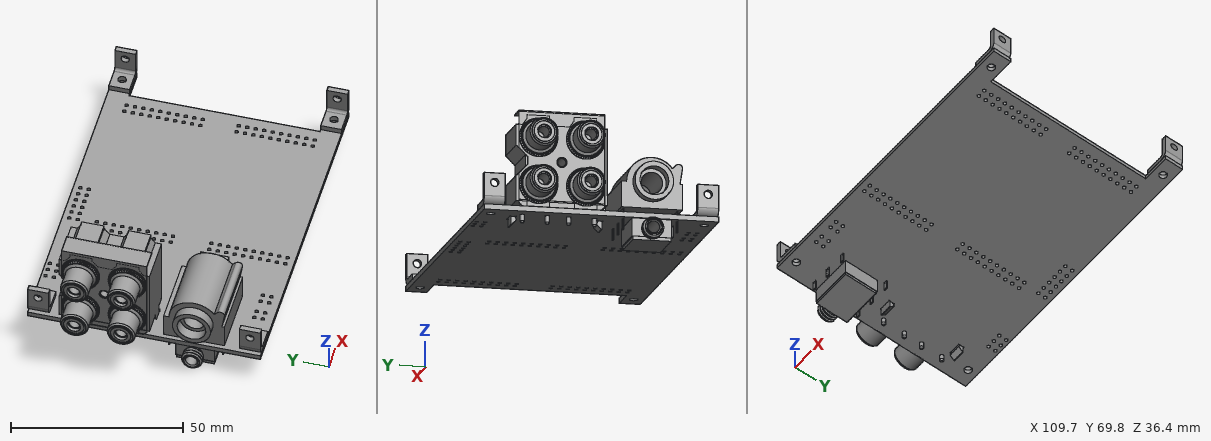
import cadquery as cq
import math


board_length = 101.4
board_width = 69.8
board_thickness = 1.5
board_main_length = 92.1
header_hole_d = 1.0
header_pitch = 2.5
header_row_span = 22.8
header_rows = 10
long_header_starts = ((37.9, 24.7), (37.9, -9.7), (85.6, 28.3), (85.8, -5.3))
short_headers = ((15.6, 33.6, 3), (39.8, 32.8, 6), (14.6, -29.3, 2), (21.4, -29.4, 2))

bracket_width = 6.3
bracket_depth = 8.6
bracket_height = 9.4
bracket_thickness = 1.6
bracket_bend_r = 2.5
bracket_hole_d = 2.4
bracket_base_hole_x = 5.2
bracket_wall_hole_z = 6.6

phono_y = 11.9
phono_z = 13.6
phono_pitch = 14.0
phono_front = -8.3
phono_width = 27.1
phono_depth = 13.6
phono_shoulder_z = 24.4
ridge_width = 6.7
ridge_top_z = 27.3
ridge_step_z = 26.2
ridge_slope = 1.3
ridge_wide_slope = 1.8
notch_depth = 2.7
plate_notch_setback = 0.7
notch_half_mouth = 4.5
phono_bottom_z = 1.5
plate_width = 25.6
plate_thickness = 0.3
plate_top_z = 28.5
plate_bottom_z = 1.9
plate_flange_x = 5.6
plate_hole_d = 3.0
block_hole_d = 2.4
lip_thickness = 0.2
lip_chamfer = 1.0

barrel_r = 4.2
barrel_chamfer = 0.4
barrel_chamfer_length = 0.7
collar_cone_x = -2.1
collar_x = -1.5
collar_r = 5.5
collar_flange_x = -0.7
collar_flange_r = 5.7
tooth_depth = 0.5
tooth_count = 48
socket_mouth_d = 4.1
socket_mouth_depth = 1.1
socket_d = 3.3
socket_depth = 7.7
groove_outer_d = 7.2
groove_inner_d = 6.1
groove_depth = 0.3

leg_x = 6.8
leg_length = 4.1
leg_width = 1.2
barb_width = 1.6
barb_z = -2.5
leg_tip_width = 0.2
leg_bottom_z = -4.0
leg_slot_clearance = 0.3
phono_pin_d = 1.3
phono_pin_x = 4.4
phono_pin_tip = 0.5
phono_pin_ys = (22.6, 15.1, 8.8, 1.1)

jack_y = -15.0
jack_z = 9.1
jack_length = 20.9
jack_width = 18.2
jack_bottom_z = 1.4
jack_dome_r = 7.6
jack_nose_d = 11.4
jack_nose_length = 3.0
jack_mouth_d = 8.6
jack_mouth_depth = 3.3
jack_bore_d = 6.4
jack_bore_depth = 18.7
jack_tail_size = 8.5
jack_tail_length = 3.0
nub_r = 1.2
nub_y = -22.9
nub_z = 13.8
nub_lean = 0.8
terminal_xs = (2.2, 8.3, 14.9)
terminal_spread = 16.1
terminal_thickness = 0.3
terminal_shoulder = 4.1
terminal_pin_width = 1.2
terminal_notch_width = 1.1
terminal_notch_height = 0.3
terminal_bottom_z = -4.7

aux_y = -15.1
aux_x = 0.8
aux_length = 13.8
aux_width = 11.7
aux_bottom_z = -7.9
aux_ledge_z = -6.9
aux_base_inset = 0.1
aux_base_side_inset = 0.3
aux_barrel_y = -14.9
aux_barrel_z = -4.7
aux_barrel_front = -3.0
thread_crest_r = 3.1
thread_root_r = 2.5
thread_pitch = 1.0
thread_turns = 3
aux_bore_d = 3.5
aux_bore_depth = 11.0
aux_bore_chamfer = 0.38
aux_pin_d = 0.8
aux_pin_x = 13.6
aux_pin_ys = (-10.9, -14.8, -20.0)
aux_pin_top_z = 0.7

half_board = board_width / 2
phono_left = phono_y + phono_width / 2
phono_right = phono_y - phono_width / 2
socket_ys = (phono_y - phono_pitch / 2, phono_y + phono_pitch / 2)
socket_zs = (phono_z - phono_pitch / 2, phono_z + phono_pitch / 2)
terminal_ys = (jack_y - terminal_spread / 2, jack_y + terminal_spread / 2)


def block(x0, x1, y0, y1, z0, z1):
    """Box between two corners."""
    return cq.Workplane("XY").box(x1 - x0, y1 - y0, z1 - z0, centered=False).translate((x0, y0, z0))


def rod_x(diameter, x0, x1, y, z):
    """Cylinder along X."""
    return cq.Workplane("YZ", origin=(x0, y, z)).circle(diameter / 2).extrude(x1 - x0)


def rod_z(diameter, x, y, z0, z1):
    """Cylinder along Z."""
    return cq.Workplane("XY", origin=(x, y, z0)).circle(diameter / 2).extrude(z1 - z0)


def turned_x(points, y, z):
    """Solid of revolution about a line along X, from (x, radius) points."""
    profile = cq.Workplane("XZ").polyline(points).close()
    return profile.revolve(360, (0, 0), (1, 0)).translate((0, y, z))


def profile_x(points, x0, x1):
    """Prism along X from (y, z) points."""
    return cq.Workplane("YZ", origin=(x0, 0, 0)).polyline(points).close().extrude(x1 - x0)


def make_bracket():
    """Front bracket on the +Y side: an upright and a base joined by a round bend."""
    y0 = half_board - bracket_width
    y1 = half_board
    wall_x = bracket_thickness
    base_z = bracket_thickness
    inner_r = bracket_bend_r - bracket_thickness
    body = block(0, bracket_depth, y0, y1, 0, bracket_height)
    body = body.edges("|Y and <X and <Z").fillet(bracket_bend_r)
    space = block(wall_x, bracket_depth, y0, y1, base_z, bracket_height)
    space = space.edges("|Y and <X and <Z").fillet(inner_r)
    hole_y = half_board - bracket_width / 2
    base_hole = rod_z(bracket_hole_d, bracket_base_hole_x, hole_y, 0, base_z)
    wall_hole = rod_x(bracket_hole_d, 0, wall_x, hole_y, bracket_wall_hole_z)
    return body.cut(space).cut(base_hole).cut(wall_hole)


def make_brackets():
    front_left = make_bracket()
    brackets = []
    for bracket in (front_left, front_left.mirror("XZ")):
        rear = bracket.mirror("YZ").translate((board_length, 0, 0))
        brackets += [bracket, rear]
    return brackets


def header_points(x, y, columns, rows, pitch_y):
    """Hole centres of a header; (x, y) is its front hole on the +Y side."""
    return [(x + i * header_pitch, y - j * pitch_y) for i in range(columns) for j in range(rows)]


def make_header_holes():
    row_pitch = header_row_span / (header_rows - 1)
    points = []
    for x, y, columns in short_headers:
        points += header_points(x, y, columns, 2, header_pitch)
    for x, y in long_header_starts:
        points += header_points(x, y, 2, header_rows, row_pitch)
    plane = cq.Workplane("XY", origin=(0, 0, -board_thickness))
    return plane.pushPoints(points).circle(header_hole_d / 2).extrude(board_thickness)


def make_board():
    board = block(0, board_length, -half_board, half_board, -board_thickness, 0)
    half_gap = half_board - bracket_width
    board = board.cut(block(board_main_length, board_length, -half_gap, half_gap, -board_thickness, 0))
    board = board.cut(make_header_holes())
    for x in (bracket_base_hole_x, board_length - bracket_base_hole_x):
        for side in (-1, 1):
            y = side * (half_board - bracket_width / 2)
            board = board.cut(rod_z(bracket_hole_d, x, y, -board_thickness, 0))
    for side in (-1, 1):
        outer = phono_y + side * (phono_width / 2 + leg_slot_clearance)
        inner = phono_y + side * (phono_width / 2 - barb_width)
        y0, y1 = sorted((outer, inner))
        board = board.cut(block(leg_x, leg_x + leg_length, y0, y1, -board_thickness, 0))
    for y in phono_pin_ys:
        board = board.cut(rod_z(phono_pin_d, phono_pin_x, y, -board_thickness, 0))
    for x in terminal_xs:
        for y in terminal_ys:
            y0 = y - terminal_thickness / 2
            y1 = y + terminal_thickness / 2
            board = board.cut(block(x, x + terminal_pin_width, y0, y1, -board_thickness, 0))
    for y in aux_pin_ys:
        board = board.cut(rod_z(aux_pin_d, aux_pin_x, y, -board_thickness, 0))
    return board


def make_phono_barrel(y, z):
    """Barrel with a conical base, a toothed collar and a round flange behind it."""
    chamfer_x = phono_front + barrel_chamfer_length
    root_r = collar_r - tooth_depth
    barrel = turned_x(
        [
            (phono_front, 0),
            (phono_front, barrel_r - barrel_chamfer),
            (chamfer_x, barrel_r),
            (collar_cone_x, barrel_r),
            (collar_x, root_r),
            (collar_flange_x, root_r),
            (collar_flange_x, collar_flange_r),
            (0, collar_flange_r),
            (0, 0),
        ],
        y,
        z,
    )
    teeth = []
    for i in range(2 * tooth_count):
        angle = math.pi * i / tooth_count
        radius = collar_r if i % 2 == 0 else root_r
        teeth.append((y + radius * math.cos(angle), z + radius * math.sin(angle)))
    return barrel.union(profile_x(teeth, collar_x, collar_flange_x))


def make_socket_cut(y, z):
    """Stepped blind hole and the ring groove around it."""
    groove = rod_x(groove_outer_d, phono_front, phono_front + groove_depth, y, z)
    groove = groove.cut(rod_x(groove_inner_d, phono_front, phono_front + groove_depth, y, z))
    mouth = rod_x(socket_mouth_d, phono_front, phono_front + socket_mouth_depth, y, z)
    bore = rod_x(socket_d, phono_front, phono_front + socket_depth, y, z)
    return mouth.union(bore).union(groove)


def make_snap_leg(side):
    """Barbed leg flush with one side of the block."""
    edge = phono_y + side * phono_width / 2
    points = [
        (edge, phono_bottom_z),
        (edge, leg_bottom_z),
        (edge - side * leg_tip_width, leg_bottom_z),
        (edge - side * barb_width, barb_z),
        (edge - side * leg_width, -board_thickness),
        (edge - side * leg_width, phono_bottom_z),
    ]
    return profile_x(points, leg_x, leg_x + leg_length)


def make_side_notch(depth, x0, x1):
    """Notch cutter with 45 degree flanks."""
    floor = phono_left - depth
    half_floor = notch_half_mouth - depth
    points = [
        (phono_left, phono_z - notch_half_mouth),
        (floor, phono_z - half_floor),
        (floor, phono_z + half_floor),
        (phono_left, phono_z + notch_half_mouth),
    ]
    return profile_x(points, x0, x1)


def make_phono_block():
    body = block(0, phono_depth, phono_right, phono_left, phono_bottom_z, phono_shoulder_z)
    half_ridge = ridge_width / 2
    for y, inner_slope in zip(socket_ys, (ridge_slope, ridge_wide_slope)):
        ridge = [
            (y - half_ridge - inner_slope, phono_shoulder_z),
            (y - half_ridge, ridge_step_z),
            (y - half_ridge, ridge_top_z),
            (y + half_ridge, ridge_top_z),
            (y + half_ridge, ridge_step_z),
            (y + half_ridge + ridge_slope, phono_shoulder_z),
        ]
        body = body.union(profile_x(ridge, 0, phono_depth))

    plate_right = phono_y - plate_width / 2
    plate_left = phono_y + plate_width / 2
    flange_z = plate_top_z - plate_thickness
    body = body.union(block(-plate_thickness, 0, plate_right, plate_left, plate_bottom_z, plate_top_z))
    body = body.union(block(-plate_thickness, plate_flange_x, plate_right, plate_left, flange_z, plate_top_z))
    lip = block(-lip_thickness, 0, plate_right, plate_left, 0, plate_bottom_z)
    body = body.union(lip.edges("|X and <Z").chamfer(lip_chamfer))
    for y in socket_ys:
        body = body.union(block(-plate_thickness, 0, y - half_ridge, y + half_ridge, 0, plate_bottom_z))

    body = body.cut(make_side_notch(notch_depth, 0, phono_depth))
    body = body.cut(make_side_notch(notch_depth + plate_notch_setback, -plate_thickness, 0))
    body = body.cut(rod_x(plate_hole_d, -plate_thickness, 0, phono_y, phono_z))
    body = body.cut(rod_x(block_hole_d, 0, phono_depth, phono_y, phono_z))

    for y in socket_ys:
        for z in socket_zs:
            body = body.union(make_phono_barrel(y, z)).cut(make_socket_cut(y, z))
    for side in (-1, 1):
        body = body.union(make_snap_leg(side))
    for y in phono_pin_ys:
        pin = rod_z(phono_pin_d, phono_pin_x, y, leg_bottom_z, phono_bottom_z)
        tip_chamfer = phono_pin_d / 4
        body = body.union(pin.faces("<Z").chamfer(phono_pin_tip, tip_chamfer))
    return body


def make_terminal(x, y):
    """Flat terminal: a notched shoulder under the jack and a pin through the board."""
    y0 = y - terminal_thickness / 2
    y1 = y + terminal_thickness / 2
    shoulder = block(x, x + terminal_shoulder, y0, y1, 0, jack_bottom_z)
    notch_x = x + (terminal_shoulder - terminal_notch_width) / 2
    shoulder = shoulder.cut(block(notch_x, notch_x + terminal_notch_width, y0, y1, 0, terminal_notch_height))
    return shoulder.union(block(x, x + terminal_pin_width, y0, y1, terminal_bottom_z, 0))


def make_jack():
    jack_right = jack_y - jack_width / 2
    body = block(0, jack_length, jack_right, jack_right + jack_width, jack_bottom_z, jack_z)
    body = body.union(rod_x(2 * jack_dome_r, 0, jack_length, jack_y, jack_z))

    flank = nub_r * math.sqrt(0.5)
    nub_profile = [
        (nub_y - nub_r, nub_z),
        (nub_y - nub_r + nub_lean, jack_z),
        (jack_y, jack_z),
        (nub_y + flank + nub_r, nub_z + flank - nub_r),
        (nub_y + flank, nub_z + flank),
    ]
    body = body.union(profile_x(nub_profile, 0, jack_length))
    body = body.union(rod_x(2 * nub_r, 0, jack_length, nub_y, nub_z))

    half_tail = jack_tail_size / 2
    tail = block(
        jack_length,
        jack_length + jack_tail_length,
        jack_y - half_tail,
        jack_y + half_tail,
        jack_z - half_tail,
        jack_z + half_tail,
    )
    body = body.union(tail)
    body = body.union(rod_x(jack_nose_d, -jack_nose_length, 0, jack_y, jack_z))

    bore_r = jack_bore_d / 2
    mouth_r = jack_mouth_d / 2
    mouth_x = -jack_nose_length + jack_mouth_depth
    bore_x = -jack_nose_length + jack_bore_depth
    bore = [
        (-jack_nose_length, 0),
        (-jack_nose_length, mouth_r),
        (mouth_x, mouth_r),
        (mouth_x, bore_r),
        (bore_x, bore_r),
        (bore_x + bore_r, 0),
    ]
    body = body.cut(turned_x(bore, jack_y, jack_z))
    for x in terminal_xs:
        for y in terminal_ys:
            body = body.union(make_terminal(x, y))
    return body


def make_aux_barrel():
    """Barrel with ring-shaped thread ridges."""
    points = [(aux_barrel_front, 0), (aux_barrel_front, thread_root_r)]
    for i in range(thread_turns):
        start = aux_barrel_front + thread_pitch * (i + 0.25)
        points += [
            (start, thread_root_r),
            (start + thread_pitch / 2, thread_crest_r),
            (start + thread_pitch * 0.75, thread_root_r),
        ]
    points += [(aux_x, thread_root_r), (aux_x, 0)]
    return turned_x(points, aux_barrel_y, aux_barrel_z)


def make_aux_jack():
    x1 = aux_x + aux_length
    y0 = aux_y - aux_width / 2
    y1 = aux_y + aux_width / 2
    body = block(aux_x, x1, y0, y1, aux_ledge_z, -board_thickness)
    base_y0 = y0 + aux_base_inset
    base_y1 = y1 - aux_base_side_inset
    base = block(aux_x + aux_base_inset, x1 - aux_base_inset, base_y0, base_y1, aux_bottom_z, aux_ledge_z)
    body = body.union(base)
    body = body.union(make_aux_barrel())
    bore_r = aux_bore_d / 2
    bore_end = aux_barrel_front + aux_bore_depth
    bore = [
        (aux_barrel_front, 0),
        (aux_barrel_front, bore_r + aux_bore_chamfer),
        (aux_barrel_front + aux_bore_chamfer, bore_r),
        (bore_end, bore_r),
        (bore_end, 0),
    ]
    body = body.cut(turned_x(bore, aux_barrel_y, aux_barrel_z))
    for y in aux_pin_ys:
        body = body.union(rod_z(aux_pin_d, aux_pin_x, y, -board_thickness, aux_pin_top_z))
    return body


board = make_board()
brackets = make_brackets()
phono_block = make_phono_block()
jack = make_jack()
aux_jack = make_aux_jack()

result = cq.Compound.makeCompound(
    [
        board.solids().val(),
        *[bracket.solids().val() for bracket in brackets],
        phono_block.solids().val(),
        jack.solids().val(),
        aux_jack.solids().val(),
    ]
)